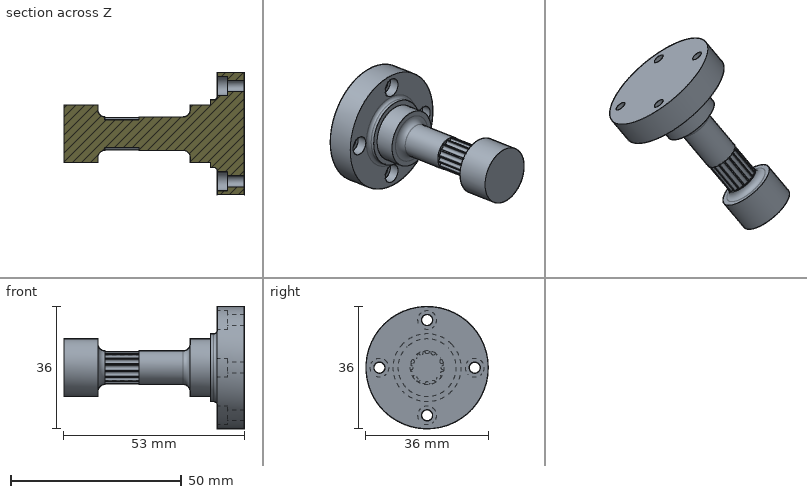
import cadquery as cq
import math

total_length = 53.0
head_length = 10.0
hub_start = 37.05
collar_start = 43.0
flange_start = 45.0

head_diameter = 17.0
shaft_diameter = 9.95
collar_diameter = 20.0
flange_diameter = 36.0

shaft_fillet = 2.0
collar_fillet = 1.0

bolt_count = 4
bolt_circle_diameter = 28.0
bolt_diameter = 3.2
counterbore_diameter = 5.5
counterbore_depth = 3.0

spline_start = head_length + shaft_fillet
spline_length = 10.0
groove_count = 16
tip_diameter = 9.7
groove_mouth_width = 1.55
groove_width = 1.25
groove_depth = 0.75
flank_depth = 0.185


def turned_body():
    """Revolve the stepped outline, with its concave fillets, about the X axis."""
    head_r = head_diameter / 2
    shaft_r = shaft_diameter / 2
    collar_r = collar_diameter / 2
    flange_r = flange_diameter / 2
    arc_inset = 1 - math.sqrt(0.5)
    shaft_inset = shaft_fillet * arc_inset
    collar_inset = collar_fillet * arc_inset
    return (
        cq.Workplane("XY")
        .lineTo(0, head_r)
        .lineTo(head_length, head_r)
        .lineTo(head_length, shaft_r + shaft_fillet)
        .threePointArc(
            (head_length + shaft_inset, shaft_r + shaft_inset),
            (spline_start, shaft_r),
        )
        .lineTo(hub_start - shaft_fillet, shaft_r)
        .threePointArc(
            (hub_start - shaft_inset, shaft_r + shaft_inset),
            (hub_start, shaft_r + shaft_fillet),
        )
        .lineTo(hub_start, head_r)
        .lineTo(collar_start, head_r)
        .lineTo(collar_start, collar_r)
        .lineTo(flange_start - collar_fillet, collar_r)
        .threePointArc(
            (flange_start - collar_inset, collar_r + collar_inset),
            (flange_start, collar_r + collar_fillet),
        )
        .lineTo(flange_start, flange_r)
        .lineTo(total_length, flange_r)
        .lineTo(total_length, 0)
        .close()
        .revolve(360, (0, 0, 0), (1, 0, 0))
    )


def spline_section():
    """Cylinder with round-bottomed, slant-sided grooves, the first one lying on the Y axis."""
    plane = cq.Workplane("YZ", origin=(spline_start, 0, 0))
    tip_r = tip_diameter / 2
    half_mouth = groove_mouth_width / 2
    half_width = groove_width / 2
    mouth_height = math.sqrt(tip_r**2 - half_mouth**2)
    arc_height = mouth_height - flank_depth
    groove = (
        plane.moveTo(shaft_diameter / 2, -half_mouth)
        .lineTo(mouth_height, -half_mouth)
        .lineTo(arc_height, -half_width)
        .threePointArc((tip_r - groove_depth, 0), (arc_height, half_width))
        .lineTo(mouth_height, half_mouth)
        .lineTo(shaft_diameter / 2, half_mouth)
        .close()
        .extrude(spline_length)
    )
    section = plane.circle(tip_r).extrude(spline_length)
    for index in range(groove_count):
        angle = index * 360 / groove_count
        section = section.cut(groove.rotate((0, 0, 0), (1, 0, 0), angle))
    return section


def spline_blank():
    """Plain length of shaft material that the spline replaces."""
    return (
        cq.Workplane("YZ", origin=(spline_start, 0, 0))
        .circle(shaft_diameter / 2)
        .extrude(spline_length)
    )


def flange_holes(body):
    """Cut the through holes, counterbored on the shaft side of the flange."""
    face = cq.Workplane("YZ", origin=(flange_start, 0, 0))
    bolt_pattern = face.polarArray(bolt_circle_diameter / 2, 0, 360, bolt_count)
    through_holes = bolt_pattern.circle(bolt_diameter / 2).extrude(total_length - flange_start)
    counterbores = bolt_pattern.circle(counterbore_diameter / 2).extrude(counterbore_depth)
    return body.cut(through_holes).cut(counterbores)


body = turned_body().cut(spline_blank().cut(spline_section()))
result = flange_holes(body)